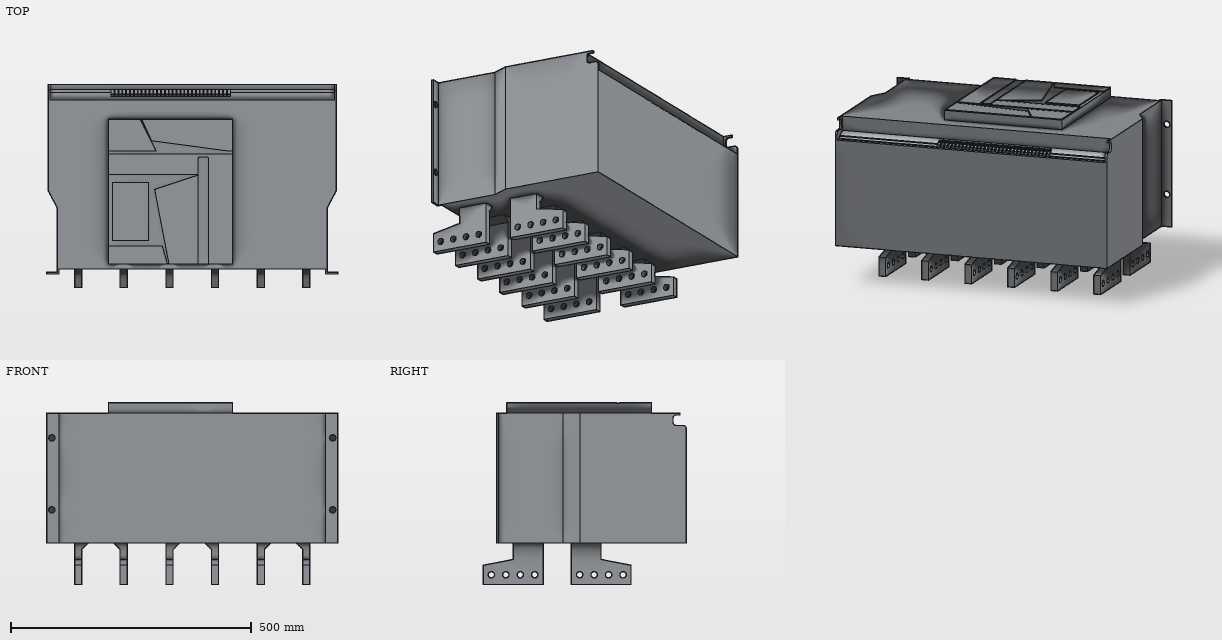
import cadquery as cq
import math

overall_width = 605
body_depth = 394.0
body_height = 270.0
cut_clearance = 6
sheet = 4.0

rear_half_width = 299.5
front_half_width = 281.0
front_face_y = 10.0
taper_start_y = 138.0
taper_end_y = 173.5

flange_hole_diameter = 13.5
flange_hole_edge_distance = 11.0
flange_hole_heights = (69.0, 218.5)

recess_depth_y = 32.0
recess_drop = 30.0
step_inset = 16.5
ledge_width = 10.0
ramp_angle = 25
ramp_step = 2.0
ledge_drop = 2.0

terminal_count = 31
terminal_row_span = 241.5
terminal_pitch = terminal_row_span / (terminal_count - 1)
terminal_width = 6.0
terminal_row_center_x = -45.0
terminal_front_inset = 25.5
terminal_rise = 2.0
terminal_hole_diameter = 3.0

notch_depth = 27.0
notch_lip = 4.0
notch_floor_drop = 25.5
notch_corner_radius = 6.0
hook_inset = 13.0
shoulder_radius = 6.5

cover_left_x = -174.0
cover_front_y = 20.5
cover_width = 258.5
cover_depth = 301.0
cover_height = 22.5
relief = 2.0
cover_base_height = cover_height - relief
panel_inset = 0.5

outer_pole_spacing = 379.5
pole_pitch = outer_pole_spacing / 2
lug_offset_x = 47.0
lug_thickness = 15.0
lug_length = 86.5
lug_rows_center_y = 126.0
lug_row_gap = 57.5
lug_inner_y = lug_row_gap / 2
lug_neck_y = 91.5
lug_outer_y = 153.5
lug_shoulder_drop = 34.0
lug_tip_drop = 46.0
gusset = 13.5
lug_hole_diameter = 13.0
lug_hole_count = 4
lug_hole_span = 90.0
lug_hole_pitch = lug_hole_span / (lug_hole_count - 1)
lug_hole_end_distance = 17.0
lug_hole_drop = 66.0


def prism_x(points, x_start, x_end):
    """Extrude a closed (Y, Z) outline from x_start to x_end."""
    return cq.Workplane("YZ", origin=(x_start, 0, 0)).polyline(points).close().extrude(x_end - x_start)


def make_housing():
    half_outline = [
        (0, front_face_y),
        (front_half_width - sheet, front_face_y),
        (front_half_width - sheet, 0),
        (overall_width / 2, 0),
        (overall_width / 2, sheet),
        (front_half_width, sheet),
        (front_half_width, taper_start_y),
        (rear_half_width, taper_end_y),
        (rear_half_width, body_depth),
        (0, body_depth),
    ]
    half = cq.Workplane("XY").polyline(half_outline).close().extrude(body_height)
    return half.union(half.mirror("YZ"))


def make_flange_holes():
    hole_x = overall_width / 2 - flange_hole_edge_distance
    centers = [(x, z) for x in (-hole_x, hole_x) for z in flange_hole_heights]
    return cq.Workplane("XZ").pushPoints(centers).circle(flange_hole_diameter / 2).extrude(-sheet)


def ramp_fall(inset):
    """Drop of the ramp below its front edge, at a distance from the rear face."""
    return (recess_depth_y - inset) * math.tan(math.radians(ramp_angle))


ramp_top_z = body_height - recess_drop
step_z = ramp_top_z - ramp_fall(step_inset)
ledge_top_z = ramp_top_z - ramp_fall(ledge_width) - ramp_step


def make_recess():
    above = body_height + cut_clearance
    behind = body_depth + cut_clearance
    outline = [
        (body_depth - recess_depth_y, above),
        (body_depth - recess_depth_y, ramp_top_z),
        (body_depth - step_inset, step_z),
        (body_depth - step_inset, step_z - ramp_step),
        (body_depth - ledge_width, ledge_top_z),
        (body_depth - ledge_width, ledge_top_z - ledge_drop),
        (behind, ledge_top_z - ledge_drop),
        (behind, above),
    ]
    return prism_x(outline, -rear_half_width + sheet, rear_half_width - sheet)


def make_terminals():
    front_z = ramp_top_z - ramp_fall(terminal_front_inset)
    rear_z = ramp_top_z - ramp_fall(ledge_width)
    outline = [
        (body_depth - terminal_front_inset, front_z + terminal_rise),
        (body_depth - ledge_width, rear_z + terminal_rise),
        (body_depth - ledge_width, ledge_top_z - ledge_drop),
        (body_depth - terminal_front_inset, front_z - terminal_rise),
    ]
    block = prism_x(outline, -terminal_width / 2, terminal_width / 2)
    hole_y = body_depth - (terminal_front_inset + step_inset) / 2
    hole = (
        cq.Workplane("XY", origin=(0, hole_y, step_z + terminal_rise))
        .circle(terminal_hole_diameter / 2)
        .extrude(recess_drop)
    )
    terminal = block.cut(hole).val()
    row = cq.Workplane("XY")
    for index in range(terminal_count):
        x = terminal_row_center_x + (index - (terminal_count - 1) / 2) * terminal_pitch
        row = row.add(terminal.translate(cq.Vector(x, 0, 0)))
    return row.combine()


def make_notches():
    """Hooked cut through both side plates, open to the rear."""
    lip_z = body_height - notch_lip
    floor_z = body_height - notch_floor_drop
    inner_y = body_depth - notch_depth
    arc_middle = 1 - math.sqrt(0.5)
    radius = notch_corner_radius
    bend = radius * arc_middle
    shoulder_bend = shoulder_radius * arc_middle
    return (
        cq.Workplane("YZ", origin=(-rear_half_width, 0, 0))
        .moveTo(body_depth - hook_inset, body_height)
        .lineTo(body_depth - hook_inset, lip_z)
        .lineTo(inner_y + radius, lip_z)
        .threePointArc((inner_y + bend, lip_z - bend), (inner_y, lip_z - radius))
        .lineTo(inner_y, floor_z + radius)
        .threePointArc((inner_y + bend, floor_z + bend), (inner_y + radius, floor_z))
        .lineTo(body_depth - shoulder_radius, floor_z)
        .threePointArc(
            (body_depth - shoulder_bend, floor_z - shoulder_bend),
            (body_depth, floor_z - shoulder_radius),
        )
        .lineTo(body_depth, body_height)
        .close()
        .extrude(2 * rear_half_width)
    )


def make_cover():
    """Cover block carrying shallow raised panels; panel points start at its front left corner."""
    slot_left, slot_right, slot_end, slot_radius = 186.5, 208.0, 222.5, 3.5
    band_bottom, band_top = 186.5, 228.5
    upper_bottom = 235.5
    lower_left_panel = [(0, 0), (123.0, 0), (112.0, 38.0), (0, 38.0)]
    display_panel = [(8.5, 49.0), (83.0, 49.0), (83.0, 170.0), (8.5, 170.0)]
    wedge_panel = [(126.0, 0), (slot_left, 0), (slot_left, 185.0), (96.0, 155.5)]
    band_panel = [
        (0, band_bottom),
        (slot_left, band_bottom),
        (slot_left, 0),
        (cover_width, 0),
        (cover_width, band_top),
        (0, band_top),
    ]
    upper_left_panel = [(0, upper_bottom), (99.0, upper_bottom), (66.0, cover_depth), (0, cover_depth)]
    upper_right_panel = [
        (89.5, 256.5),
        (247.0, upper_bottom),
        (cover_width, upper_bottom),
        (cover_width, cover_depth),
        (69.0, cover_depth),
    ]
    panels = (
        lower_left_panel, display_panel, wedge_panel,
        band_panel, upper_left_panel, upper_right_panel,
    )
    corner = (cover_left_x, cover_front_y, body_height)
    base = cq.Workplane("XY", origin=corner)
    cover = base.rect(cover_width, cover_depth, centered=False).extrude(cover_base_height)
    face = base.workplane(offset=cover_base_height)
    slot = (
        face.moveTo(slot_left, -cut_clearance)
        .rect(slot_right - slot_left, slot_end + cut_clearance, centered=False)
        .extrude(relief)
        .edges("|Z and >Y")
        .fillet(slot_radius)
    )
    panel_area = (
        face.moveTo(panel_inset, panel_inset)
        .rect(cover_width - 2 * panel_inset, cover_depth - 2 * panel_inset, centered=False)
        .extrude(relief)
        .cut(slot)
    )
    for outline in panels:
        cover = cover.union(face.polyline(outline).close().extrude(relief).intersect(panel_area))
    return cover


def make_lug():
    """Rear lug centred on X = 0, with its gusset on the +X side."""
    outline = [
        (lug_inner_y, 0),
        (lug_neck_y, 0),
        (lug_neck_y, -lug_shoulder_drop),
        (lug_outer_y, -lug_tip_drop),
        (lug_outer_y, -lug_length),
        (lug_inner_y, -lug_length),
    ]
    half = lug_thickness / 2
    lug = prism_x(outline, -half, half)
    brace = (
        cq.Workplane("XZ", origin=(0, lug_inner_y, 0))
        .polyline([(half, 0), (half + gusset, 0), (half, -gusset)])
        .close()
        .extrude(lug_inner_y - lug_neck_y)
    )
    last_hole_y = lug_outer_y - lug_hole_end_distance
    centers = [(last_hole_y - i * lug_hole_pitch, -lug_hole_drop) for i in range(lug_hole_count)]
    holes = (
        cq.Workplane("YZ", origin=(-half, 0, 0))
        .pushPoints(centers)
        .circle(lug_hole_diameter / 2)
        .extrude(lug_thickness)
    )
    return lug.union(brace).cut(holes)


def make_pole_lugs():
    """The four lugs of one pole: left and right, front and rear."""
    left = make_lug().translate((-lug_offset_x, 0, 0))
    rear_pair = left.union(left.mirror("YZ"))
    return rear_pair.union(rear_pair.mirror("XZ"))


result = make_housing().cut(make_flange_holes()).cut(make_recess()).union(make_terminals())
result = result.cut(make_notches()).union(make_cover())

pole_lugs = make_pole_lugs()
for pole in (-1, 0, 1):
    result = result.union(pole_lugs.translate((pole * pole_pitch, lug_rows_center_y, 0)))